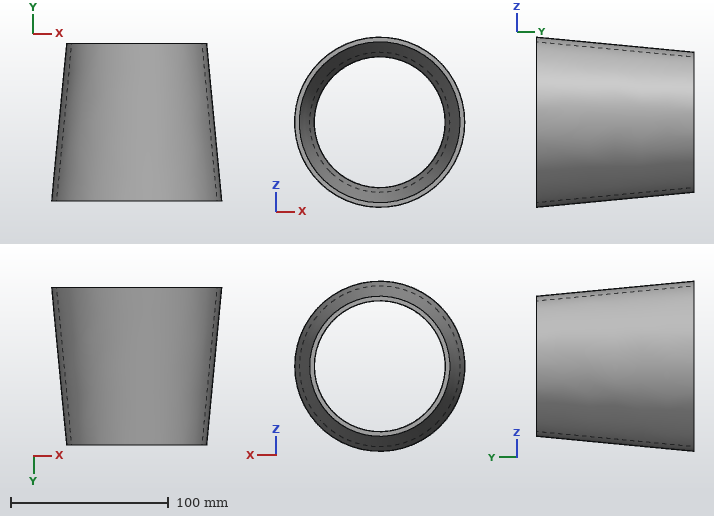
import cadquery as cq

large_diameter = 108.0
small_diameter = 88.9
length = 100.0
wall = 3.0

large_radius = large_diameter / 2
small_radius = small_diameter / 2

wall_section = [
    (large_radius - wall, 0),
    (large_radius, 0),
    (small_radius, length),
    (small_radius - wall, length),
]

result = (
    cq.Workplane("XY")
    .polyline(wall_section)
    .close()
    .revolve(360, (0, 0, 0), (0, 1, 0))
)